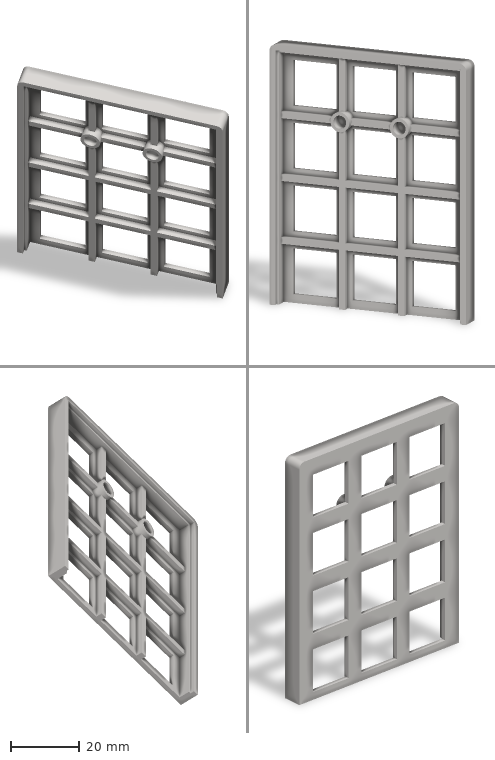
import cadquery as cq

WIDTH = 63.0
DEPTH = 6.3
HEIGHT = 79.0
CORNER_RADIUS = 2.0

RIM_THICKNESS = 1.7
WALL_THICKNESS = 2.5
LEDGE_SETBACK = 1.35
PLATE_THICKNESS = 1.5

COLUMNS = 3
ROWS = 4
PITCH = 19.0
WINDOW_SIZE = 14.0

RIB_WIDTH = 2.0
RIB_HEIGHT = 2.0

BOSS_DIAMETER = 6.0
BOSS_BORE = 4.0

PLATE_FRONT = DEPTH - PLATE_THICKNESS
BOSS_HEIGHT = PLATE_FRONT - LEDGE_SETBACK
INNER_WIDTH = WIDTH - 2 * WALL_THICKNESS
INNER_HEIGHT = HEIGHT - WALL_THICKNESS
WINDOW_XS = [(column - (COLUMNS - 1) / 2) * PITCH for column in range(COLUMNS)]
WINDOW_ZS = [(row + 0.5) * PITCH for row in range(ROWS)]
RIB_XS = [x + PITCH / 2 for x in WINDOW_XS[:-1]]
RIB_ZS = [z + PITCH / 2 for z in WINDOW_ZS[:-1]]


def block(width, height, y_front, y_back, x_center=0.0, z_bottom=0.0):
    """Box centred on x_center that spans y_front to y_back and rises from z_bottom."""
    box = cq.Workplane("XY").box(width, y_back - y_front, height, centered=(True, False, False))
    return box.translate((x_center, y_front, z_bottom))


def cylinder(diameter, length, x, z):
    """Cylinder standing on the plate and pointing toward -Y."""
    face = cq.Workplane("XZ", origin=(x, PLATE_FRONT, z))
    return face.circle(diameter / 2).extrude(length)


def make_tray():
    tray = block(WIDTH, HEIGHT, 0, DEPTH).edges("|Y and >Z").fillet(CORNER_RADIUS)
    pocket = block(INNER_WIDTH, INNER_HEIGHT, 0, PLATE_FRONT)
    recess = block(WIDTH - 2 * RIM_THICKNESS, HEIGHT - RIM_THICKNESS, 0, LEDGE_SETBACK)
    return tray.cut(pocket).cut(recess)


def cut_windows(body):
    for x in WINDOW_XS:
        for z in WINDOW_ZS:
            z_bottom = z - WINDOW_SIZE / 2
            body = body.cut(block(WINDOW_SIZE, WINDOW_SIZE, PLATE_FRONT, DEPTH, x, z_bottom))
    return body


def add_ribs(body):
    rib_front = PLATE_FRONT - RIB_HEIGHT
    for x in RIB_XS:
        body = body.union(block(RIB_WIDTH, INNER_HEIGHT, rib_front, PLATE_FRONT, x))
    for z in RIB_ZS:
        z_bottom = z - RIB_WIDTH / 2
        body = body.union(block(INNER_WIDTH, RIB_WIDTH, rib_front, PLATE_FRONT, 0, z_bottom))
    return body


def add_bosses(body):
    z = RIB_ZS[-1]
    for x in RIB_XS:
        body = body.union(cylinder(BOSS_DIAMETER, BOSS_HEIGHT, x, z))
        body = body.cut(cylinder(BOSS_BORE, BOSS_HEIGHT, x, z))
    return body


result = add_bosses(add_ribs(cut_windows(make_tray())))